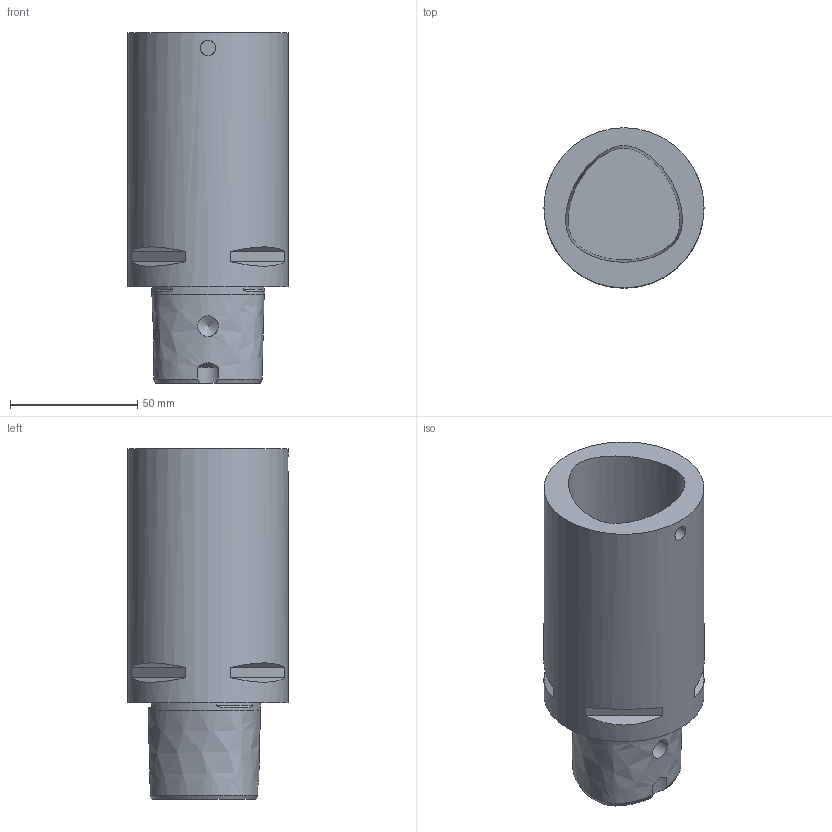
import cadquery as cq
import math

body_diameter = 63.0
body_length = 100.0
body_radius = body_diameter / 2

shank_length = 38.0
shank_neck = 3.0
shank_size = 44.2
shank_lobe = 1.45
shank_chamfer_height = 1.7
shank_chamfer_inset = 0.8
taper = 1 / 20

undercut_radius = 22.3
undercut_height = 2.0
undercut_round = 1.0

socket_size = 45.9
socket_lobe = 1.55
socket_depth = shank_length

groove_chord = 30.1
groove_floor_height = 4.0
groove_flare = 1.8
groove_centre = shank_length + 11.9
groove_floor_distance = math.sqrt(body_radius**2 - (groove_chord / 2) ** 2)

pin_hole_diameter = 6.0
pin_hole_depth = 5.0
pin_hole_below_top = 6.0
shank_hole_diameter = 8.2
shank_hole_depth = 8.0
shank_hole_point_angle = 118.0
shank_hole_centre = 22.5
key_notch_diameter = 10.0
key_notch_height = 6.4
key_notch_point_angle = 105.0
key_notch_axis_y = -22.6

lobe_count = 3
outline_samples = 48
seam_front = -90
seam_back = 90
overlap = 1.0
total_length = shank_length + body_length


def lobed_outline(size, lobe, z, start):
    """Closed curve of constant width `size` with three lobes, one of them at +Y.

    `start` is the direction (degrees) of the point where the curve begins.
    """
    points = []
    for i in range(outline_samples):
        angle = math.radians(start + 360 * i / outline_samples)
        phase = lobe_count * (angle - math.pi / 2)
        support = size / 2 + lobe * math.cos(phase)
        slope = -lobe_count * lobe * math.sin(phase)
        x = support * math.cos(angle) - slope * math.sin(angle)
        y = support * math.sin(angle) + slope * math.cos(angle)
        points.append(cq.Vector(x, y, z))
    return cq.Wire.assembleEdges([cq.Edge.makeSpline(points, periodic=True)])


def lobed_prism(lower_size, upper_size, lobe, z_low, z_high, start):
    """Solid between two lobed outlines of different size, straight-sided from one to the other."""
    lower = lobed_outline(lower_size, lobe, z_low, start)
    upper = lobed_outline(upper_size, lobe, z_high, start)
    return cq.Workplane(cq.Solid.makeLoft([lower, upper], True))


def drill(diameter, depth, point_angle):
    """Drill shape from the origin along +Z, with a conical point beyond `depth`."""
    radius = diameter / 2
    point = radius / math.tan(math.radians(point_angle / 2))
    profile = (
        cq.Workplane("XZ")
        .moveTo(0, -overlap)
        .lineTo(radius, -overlap)
        .lineTo(radius, depth)
        .lineTo(0, depth + point)
        .close()
    )
    return profile.revolve(360, (0, 0, 0), (0, 1, 0))


def make_body():
    return cq.Workplane("XY").workplane(offset=shank_length).circle(body_radius).extrude(body_length)


def make_shank():
    neck_bottom = shank_length - shank_neck
    edge_size = shank_size - taper * (neck_bottom - shank_chamfer_height)
    tip_size = edge_size - 2 * shank_chamfer_inset
    tip = lobed_prism(tip_size, edge_size, shank_lobe, 0, shank_chamfer_height, seam_front)
    cone = lobed_prism(edge_size, shank_size, shank_lobe, shank_chamfer_height, neck_bottom, seam_front)
    neck = lobed_prism(shank_size, shank_size, shank_lobe, neck_bottom, shank_length, seam_front)
    return cone.union(tip).union(neck)


def make_undercut():
    bottom = shank_length - undercut_height
    profile = (
        cq.Workplane("XZ")
        .moveTo(undercut_radius, shank_length)
        .lineTo(undercut_radius, bottom + undercut_round)
        .radiusArc((undercut_radius + undercut_round, bottom), -undercut_round)
        .lineTo(body_radius, bottom)
        .lineTo(body_radius, shank_length)
        .close()
    )
    return profile.revolve(360, (0, 0, 0), (0, 1, 0))


def make_socket():
    floor_size = socket_size - taper * socket_depth
    floor_z = total_length - socket_depth
    return lobed_prism(floor_size, socket_size, socket_lobe, floor_z, total_length, seam_back)


def make_groove(angle):
    half_floor = groove_floor_height / 2
    half_mouth = half_floor + groove_flare
    profile = (
        cq.Workplane("XZ")
        .moveTo(groove_floor_distance, groove_centre - half_floor)
        .lineTo(body_radius, groove_centre - half_mouth)
        .lineTo(body_radius, groove_centre + half_mouth)
        .lineTo(groove_floor_distance, groove_centre + half_floor)
        .close()
    )
    return profile.extrude(body_radius, both=True).rotate((0, 0, 0), (0, 0, 1), angle)


def make_pin_hole():
    return (
        cq.Workplane("XZ", origin=(0, -body_radius - overlap, total_length - pin_hole_below_top))
        .circle(pin_hole_diameter / 2)
        .extrude(-(pin_hole_depth + overlap))
    )


def make_shank_hole():
    surface_y = -(shank_size / 2 - shank_lobe)
    hole = drill(shank_hole_diameter, shank_hole_depth, shank_hole_point_angle)
    return hole.rotate((0, 0, 0), (1, 0, 0), -90).translate((0, surface_y, shank_hole_centre))


def make_key_notch():
    notch = drill(key_notch_diameter, key_notch_height, key_notch_point_angle)
    return notch.translate((0, key_notch_axis_y, 0))


result = make_shank().cut(make_undercut()).union(make_body())
result = result.cut(make_socket())
for groove_angle in (45, 135, 225, 315):
    result = result.cut(make_groove(groove_angle))
result = result.cut(make_pin_hole()).cut(make_shank_hole()).cut(make_key_notch())